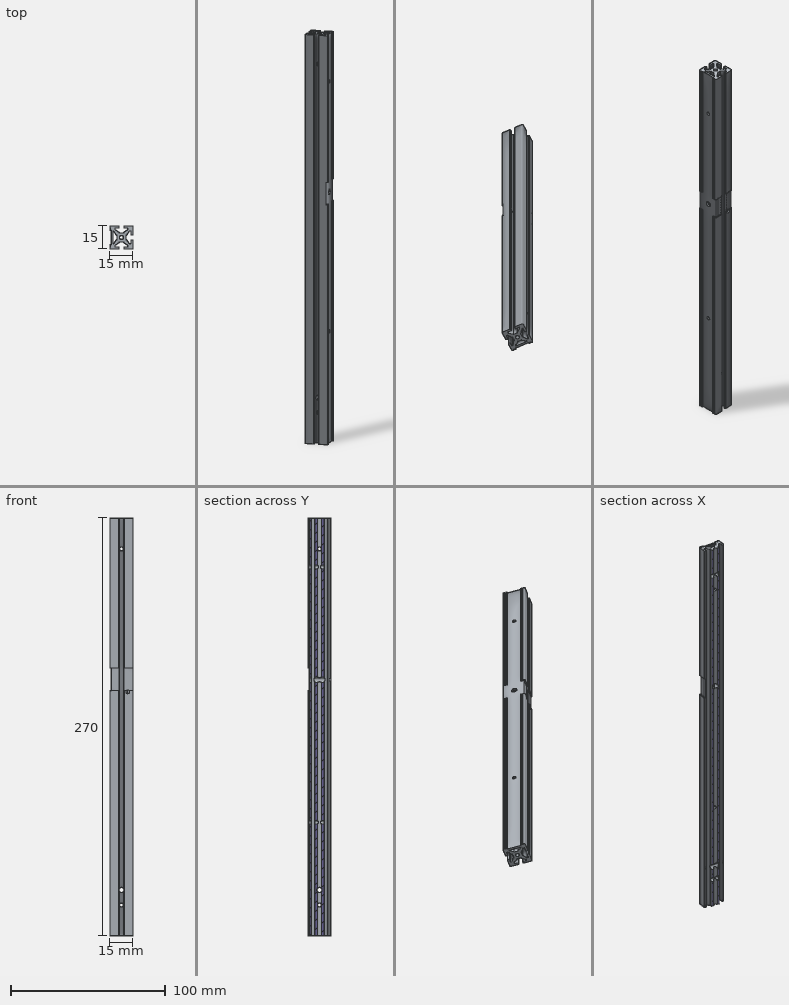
import cadquery as cq

length = 270.0
side = 15.0
half_side = side / 2
corner_radius = 0.8

floor_level = 3.0
floor_half_width = 1.4
channel_half_width = 4.0
neck_level = 3.2
shoulder_level = 5.0
lip_thickness = 1.48
inner_level = half_side - lip_thickness

mouth_width = 3.0
mouth_chamfer = 0.4

recess_depth = 0.8
recess_width = 9.2
wall_inner_level = 5.5
groove_start = 5.5
groove_width = 0.8
groove_center = groove_start + groove_width / 2
groove_depth = 0.4

bore_diameter = 2.5

relief_bottom = 158.5
relief_height = 14.5
relief_depth = recess_depth

end_hole_diameter = 2.5
end_hole_inset = 20.0
pin_hole_diameter = 3.2
pin_hole_height = 29.7
lip_hole_diameter = 2.5
lip_hole_x = 4.0
lip_hole_height = 157.7

side_hole_diameter = 2.2
side_hole_heights = (73.5, 238.5)
relief_hole_diameter = 3.5
relief_hole_height = 165.5


def prism(points):
    """Full-length prism over a closed outline."""
    return cq.Workplane("XY").polyline(points).close().extrude(length)


def mirrored(points):
    """Complete an outline from its +Y half by mirroring it across the X axis."""
    return points + [(x, -y) for x, y in reversed(points)]


def turned(body, angle):
    return body.rotate((0, 0, 0), (0, 0, 1), angle)


def channel(outer_level):
    """Widening channel on the +X side, ending under the lips or wall at outer_level."""
    return prism(mirrored([
        (floor_level, floor_half_width),
        (neck_level, floor_half_width),
        (shoulder_level, channel_half_width),
        (outer_level, channel_half_width),
    ]))


def mouth():
    """Chamfered opening between the lips on the +X side."""
    half_mouth = mouth_width / 2
    return prism(mirrored([
        (inner_level, half_mouth),
        (half_side - mouth_chamfer, half_mouth),
        (half_side, half_mouth + mouth_chamfer),
    ]))


def hole_along_y(x, z, diameter):
    return cq.Workplane("XZ").center(x, z).circle(diameter / 2).extrude(half_side, both=True)


def hole_along_x(z, diameter):
    return cq.Workplane("YZ").center(0, z).circle(diameter / 2).extrude(half_side, both=True)


bar = cq.Workplane("XY").rect(side, side).extrude(length).edges("|Z").fillet(corner_radius)
for angle in (0, 90, 270):
    bar = bar.cut(turned(channel(inner_level).union(mouth()), angle))

bar = bar.cut(turned(channel(wall_inner_level), 180))
bar = bar.cut(cq.Workplane("XY").center(-half_side, 0).rect(2 * recess_depth, recess_width).extrude(length))
for y in (-groove_center, groove_center):
    bar = bar.cut(cq.Workplane("XY").center(-half_side, y).rect(2 * groove_depth, groove_width).extrude(length))

bar = bar.cut(cq.Workplane("XY").circle(bore_diameter / 2).extrude(length))

relief_plane = cq.Workplane("XY", origin=(0, 0, relief_bottom))
bar = bar.cut(relief_plane.center(-half_side, 0).rect(2 * relief_depth, side).extrude(relief_height))
bar = bar.cut(relief_plane.center(0, -half_side).rect(side, 2 * relief_depth).extrude(relief_height))

for z in (end_hole_inset, length - end_hole_inset):
    bar = bar.cut(hole_along_y(0, z, end_hole_diameter))
bar = bar.cut(hole_along_y(0, pin_hole_height, pin_hole_diameter))
for z in side_hole_heights:
    bar = bar.cut(hole_along_x(z, side_hole_diameter))
bar = bar.cut(hole_along_x(relief_hole_height, relief_hole_diameter))

lip_hole = (
    cq.Workplane("XZ", origin=(0, -inner_level, 0))
    .center(lip_hole_x, lip_hole_height)
    .circle(lip_hole_diameter / 2)
    .extrude(lip_thickness)
)
bar = bar.cut(lip_hole)

result = bar